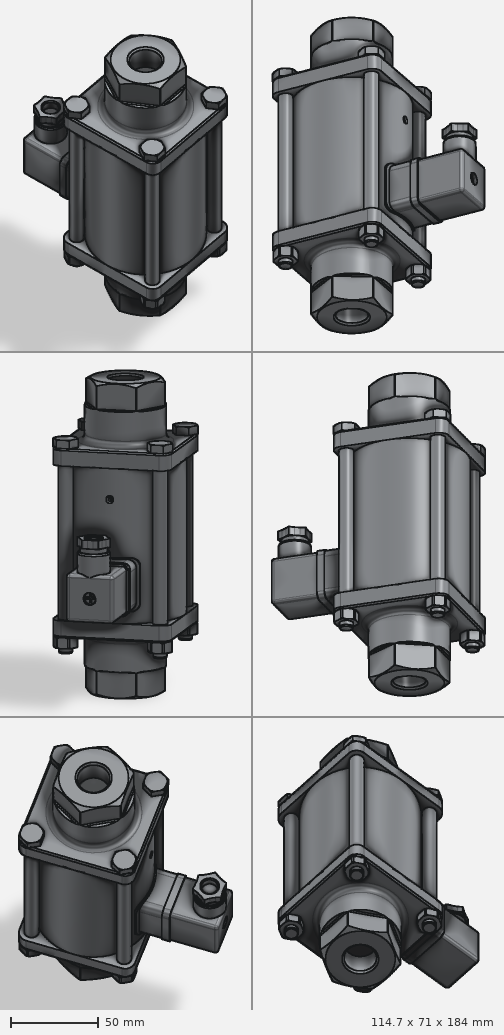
import cadquery as cq
import math

overall_height = 184.0
half_height = overall_height / 2

plate_side = 70.0
plate_inner_z = 45.2
plate_thickness = 10.0
plate_outer_z = plate_inner_z + plate_thickness
plate_corner_radius = 6.0
plate_edge_chamfer = 1.0
body_diameter = 70.0
rod_pitch = 56.0
rod_diameter = 8.6
rod_thread_diameter = 8.0
rod_end_z = -65.0
rod_end_chamfer = 0.4
rod_end_chamfer_height = 0.9

bolt_across_flats = 13.0
bolt_head_height = 5.0
bolt_chamfer_diameter = 13.4
nut_height = 6.4
nut_turned_diameter = 14.4
nut_chamfer = 0.4
bolt_chamfer_angle = 30.0

neck_diameter = 47.0
neck_fillet = 4.0
hex_across_flats = 41.0
hex_height = 16.0
hex_base_z = half_height - hex_height
hex_flare = 1.0
hex_flare_angle = 30.0
hex_chamfer_diameter = 40.0
hex_chamfer_angle = 30.0
port_diameter = 18.63
port_chamfer_diameter = 20.96
port_depth = 15.0

connector_z = -22.45
pad_radius = body_diameter / 2 + 1.0
pad_width = 34.0
pad_height = 31.4
pad_corner_radius = 5.0
socket_side = 30.2
socket_corner_radius = 5.0
gasket_side = 30.5
gasket_corner_radius = 4.0
gasket_thickness = 4.6
gasket_outer_x = -51.0
housing_side = 28.0
housing_fillet = 2.0
housing_outer_x = -79.7

gland_x = -70.2
gland_diameter = 18.9
gland_top_z = 3.5
gland_chamfer = 0.5
gland_chamfer_height = 1.1
gland_neck_diameter = 16.0
cap_base_z = 6.4
cap_height = 5.1
cap_lobes = 6
cap_across_flats = 17.0
cap_notch_half_width = 4.2
cap_valley_distance = 8.2
cap_valley_half_width = 1.65
cable_hole_diameter = 9.5
cable_hole_chamfer = 0.75

screw_hole_diameter = 7.2
screw_hole_depth = 2.5
cross_length = 5.0
cross_width = 1.2
cross_depth = 1.0

vent_z = 27.1
vent_diameter = 2.5
vent_countersink_diameter = 4.46
vent_depth = 5.0


def cylinder(diameter, z_low, z_high):
    """Cylinder on the Z axis between two heights."""
    return cq.Workplane("XY").workplane(offset=z_low).circle(diameter / 2).extrude(z_high - z_low)


def across_corners(across_flats):
    """Corner-to-corner size of a regular hexagon."""
    return across_flats / math.cos(math.radians(30))


def hexagon(across_flats, z_low, z_high, taper=0):
    """Hexagonal prism with two flats facing +X and -X, narrowing upward by the taper angle."""
    corners = across_corners(across_flats)
    prism = cq.Workplane("XY").polygon(6, corners).extrude(z_high - z_low, taper=taper)
    return prism.rotate((0, 0, 0), (0, 0, 1), 30).translate((0, 0, z_low))


def chamfered_blank(diameter, flat_diameter, z_low, z_high, angle):
    """Turned blank whose upper edge is coned down to a flat circle."""
    radius = diameter / 2
    flat_radius = flat_diameter / 2
    drop = (radius - flat_radius) * math.tan(math.radians(angle))
    profile = [
        (0, z_low),
        (radius, z_low),
        (radius, z_high - drop),
        (flat_radius, z_high),
        (0, z_high),
    ]
    return cq.Workplane("XZ").polyline(profile).close().revolve(360, (0, 0, 0), (0, 1, 0))


def flip(shape):
    """Mirror a shape from the top end to the bottom end."""
    return shape.mirror("XY")


def rounded_bar(width, height, corner_radius, x_low, x_high):
    """Bar along X, centred on the connector axis, with rounded long edges."""
    bar = cq.Workplane("XY").box(x_high - x_low, width, height)
    bar = bar.edges("|X").fillet(corner_radius)
    return bar.translate(((x_low + x_high) / 2, 0, connector_z))


def make_end():
    """Top end plate with its port fitting and threaded bore."""
    plate = (
        cq.Workplane("XY").workplane(offset=plate_inner_z)
        .rect(plate_side, plate_side).extrude(plate_thickness)
        .edges("|Z").fillet(plate_corner_radius)
        .faces(">Z").edges().chamfer(plate_edge_chamfer)
    )
    neck_radius = neck_diameter / 2
    neck = (
        cq.Workplane("XZ").moveTo(0, plate_inner_z)
        .lineTo(neck_radius + neck_fillet, plate_inner_z)
        .lineTo(neck_radius + neck_fillet, plate_outer_z)
        .radiusArc((neck_radius, plate_outer_z + neck_fillet), neck_fillet)
        .lineTo(neck_radius, hex_base_z)
        .lineTo(0, hex_base_z)
        .close().revolve(360, (0, 0, 0), (0, 1, 0))
    )
    flare_side = hex_across_flats + 2 * hex_flare
    flare_height = hex_flare * math.tan(math.radians(hex_flare_angle))
    flare = hexagon(flare_side, hex_base_z, hex_base_z + flare_height, 90 - hex_flare_angle)
    blank = chamfered_blank(
        neck_diameter, hex_chamfer_diameter, hex_base_z, half_height, hex_chamfer_angle
    )
    hex_end = hexagon(hex_across_flats, hex_base_z, half_height).union(flare).intersect(blank)
    bore_chamfer = (port_chamfer_diameter - port_diameter) / 2
    end = plate.union(neck).union(hex_end)
    end = end.cut(cylinder(port_diameter, half_height - port_depth, half_height))
    cone = cq.Solid.makeCone(
        port_diameter / 2, port_chamfer_diameter / 2, bore_chamfer,
        pnt=cq.Vector(0, 0, half_height - bore_chamfer),
    )
    return end.cut(cq.Workplane(cone))


def make_tie_rod():
    """Tie rod on the Z axis with its bolt head above and its nut below."""
    corner_diameter = across_corners(bolt_across_flats)
    shank = cylinder(rod_diameter, -plate_inner_z, plate_inner_z)
    thread = chamfered_blank(
        rod_thread_diameter, rod_thread_diameter - 2 * rod_end_chamfer, 0, -rod_end_z,
        math.degrees(math.atan2(rod_end_chamfer_height, rod_end_chamfer)),
    )
    rod = shank.union(flip(thread))
    head_top = plate_outer_z + bolt_head_height
    head = hexagon(bolt_across_flats, plate_outer_z, head_top).intersect(
        chamfered_blank(
            corner_diameter, bolt_chamfer_diameter, plate_outer_z, head_top, bolt_chamfer_angle
        )
    )
    nut_end = plate_outer_z + nut_height
    nut_blank = cylinder(nut_turned_diameter, plate_outer_z, nut_end)
    nut_blank = nut_blank.faces("<Z or >Z").chamfer(nut_chamfer)
    nut = hexagon(bolt_across_flats, plate_outer_z, nut_end).intersect(nut_blank)
    return rod.union(head).union(flip(nut))


def make_connector():
    """Curved pad, socket, gasket and plug housing, standing out along -X."""
    pad = rounded_bar(pad_width, pad_height, pad_corner_radius, gasket_outer_x, 0)
    pad = pad.intersect(cylinder(2 * pad_radius, -half_height, half_height))
    gasket_inner_x = gasket_outer_x + gasket_thickness
    socket = rounded_bar(socket_side, socket_side, socket_corner_radius, gasket_inner_x, 0)
    gasket = rounded_bar(
        gasket_side, gasket_side, gasket_corner_radius, gasket_outer_x, gasket_inner_x
    )
    housing = rounded_bar(
        housing_side, housing_side, housing_fillet, housing_outer_x, gasket_outer_x
    )
    housing = housing.faces("<X").edges().fillet(housing_fillet)
    return pad.union(socket).union(gasket).union(housing)


def make_gland():
    """Cable gland with a six-lobed cap, standing on the plug housing."""
    base = chamfered_blank(
        gland_diameter, gland_diameter - 2 * gland_chamfer, connector_z, gland_top_z,
        math.degrees(math.atan2(gland_chamfer_height, gland_chamfer)),
    )
    neck = cylinder(gland_neck_diameter, gland_top_z, cap_base_z)
    flat_distance = cap_across_flats / 2
    side_points = [
        (flat_distance, -cap_notch_half_width),
        (cap_valley_distance, -cap_valley_half_width),
        (cap_valley_distance, cap_valley_half_width),
        (flat_distance, cap_notch_half_width),
        (flat_distance, flat_distance * math.tan(math.pi / cap_lobes)),
    ]
    outline = []
    for lobe in range(cap_lobes):
        turn = lobe * 2 * math.pi / cap_lobes
        for out, along in side_points:
            x = out * math.cos(turn) - along * math.sin(turn)
            y = out * math.sin(turn) + along * math.cos(turn)
            outline.append((x, y))
    cap = (
        cq.Workplane("XY").workplane(offset=cap_base_z)
        .polyline(outline).close().extrude(cap_height)
        .faces(">Z").workplane(origin=(0, 0, 0))
        .cskHole(cable_hole_diameter, cable_hole_diameter + 2 * cable_hole_chamfer, 90)
    )
    return base.union(neck).union(cap).translate((gland_x, 0, 0))


def cut_screw_recess(part):
    """Screw hole with a cross recess in the outer face of the housing."""
    face = cq.Workplane("YZ", origin=(housing_outer_x, 0, connector_z))
    cross_end = screw_hole_depth + cross_depth
    part = part.cut(face.circle(screw_hole_diameter / 2).extrude(screw_hole_depth))
    part = part.cut(face.rect(cross_length, cross_width).extrude(cross_end))
    return part.cut(face.rect(cross_width, cross_length).extrude(cross_end))


def cut_vent(part):
    """Countersunk blind hole in the -X side of the coil body."""
    face = cq.Workplane("YZ", origin=(-body_diameter / 2, 0, vent_z))
    part = part.cut(face.circle(vent_diameter / 2).extrude(vent_depth))
    sink_depth = (vent_countersink_diameter - vent_diameter) / 2
    cone = cq.Solid.makeCone(
        vent_countersink_diameter / 2, vent_diameter / 2, sink_depth,
        pnt=cq.Vector(-body_diameter / 2, 0, vent_z), dir=cq.Vector(1, 0, 0),
    )
    return part.cut(cq.Workplane(cone))


end_fitting = make_end()
coil_body = cylinder(body_diameter, -plate_inner_z, plate_inner_z)
valve = coil_body.union(end_fitting).union(flip(end_fitting))
for x_side in (-1, 1):
    for y_side in (-1, 1):
        rod_place = (x_side * rod_pitch / 2, y_side * rod_pitch / 2, 0)
        valve = valve.union(make_tie_rod().translate(rod_place))
valve = valve.union(make_connector()).union(make_gland())
valve = cut_screw_recess(valve)
result = cut_vent(valve)